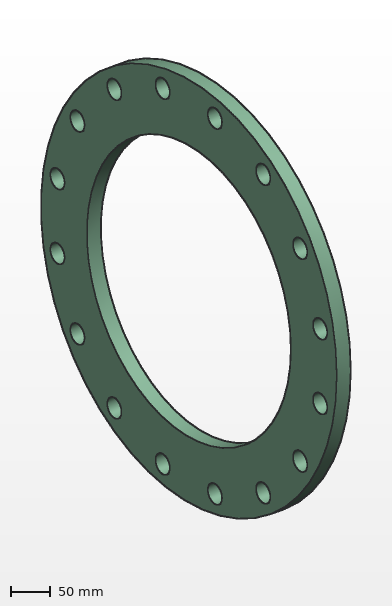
import cadquery as cq

outer_diameter = 597.0
bore_diameter = 411.0
thickness = 22.5

bolt_hole_count = 16
bolt_hole_diameter = 28.5
bolt_circle_diameter = 540.0
bolt_spacing_angle = 360 / bolt_hole_count

ring = (
    cq.Workplane("XZ")
    .circle(outer_diameter / 2)
    .circle(bore_diameter / 2)
    .extrude(thickness)
)

bolt_holes = (
    cq.Workplane("XZ")
    .polarArray(bolt_circle_diameter / 2, bolt_spacing_angle / 2, 360, bolt_hole_count)
    .circle(bolt_hole_diameter / 2)
    .extrude(thickness)
)

result = ring.cut(bolt_holes)